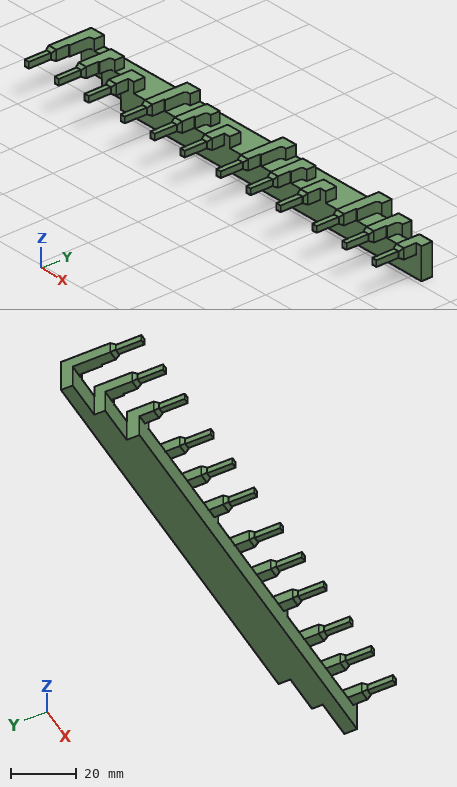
import cadquery as cq


total_length = 169.3
total_depth = 27.5
total_height = 12.4
group_count = 4
group_pitch = 45.0
tab_width = 6.1
bar_backs = [0.0, 4.0, 7.8]
bar_front = 12.2
finger_thickness = 4.0
arm_width = 4.0
neck_width = 3.5
neck_end = 17.1
taper_length = 1.5
shoulder_inset = 0.5
pin_width = 2.0
pin_height = 2.4
inner_fillet = 1.0

bar_count = len(bar_backs)
bar_fronts = bar_backs[1:] + [bar_front]
bar_length = (group_count - 1) * group_pitch + tab_width
bar_pitch = (total_length - bar_length) / (bar_count - 1)
bar_height = total_height - finger_thickness
shoulder_end_width = neck_width - 2 * shoulder_inset
pin_length = total_depth - neck_end - taper_length


def make_bar(index):
    """One straight bar, offset along X by its place in the stack."""
    front = bar_fronts[index]
    depth = front - bar_backs[index]
    bar = cq.Workplane("XY").box(bar_length, depth, bar_height, centered=False)
    return bar.translate((index * bar_pitch, -front, -total_height))


def make_finger_body(back, root_front):
    """Flat finger: wide root tab, arm over the bars and narrower neck."""
    outline = (
        cq.Workplane("XY")
        .moveTo(0, -back)
        .lineTo(tab_width, -back)
        .lineTo(tab_width, -root_front)
    )
    if root_front < bar_front:
        outline = (
            outline.lineTo(arm_width + inner_fillet, -root_front)
            .radiusArc((arm_width, -root_front - inner_fillet), -inner_fillet)
            .lineTo(arm_width, -bar_front)
        )
    return (
        outline.lineTo(neck_width, -bar_front)
        .lineTo(neck_width, -neck_end)
        .lineTo(0, -neck_end)
        .close()
        .extrude(-finger_thickness)
    )


def make_pin():
    """Tapered shoulder, as high as the pin at its end, and the slim pin."""
    neck_face = cq.Workplane("XZ", origin=(neck_width / 2, -neck_end, -finger_thickness / 2))
    shoulder = (
        neck_face.rect(neck_width, finger_thickness)
        .workplane(offset=taper_length)
        .rect(shoulder_end_width, pin_height)
        .loft(ruled=True)
    )
    shank = (
        neck_face.workplane(offset=taper_length)
        .rect(pin_width, pin_height)
        .extrude(pin_length)
    )
    return shoulder.union(shank)


result = make_bar(0)
for bar_index in range(1, bar_count):
    result = result.union(make_bar(bar_index))

pin = make_pin()
for bar_index in range(bar_count):
    finger = make_finger_body(bar_backs[bar_index], bar_fronts[bar_index]).union(pin)
    for group in range(group_count):
        finger_x = group * group_pitch + bar_index * bar_pitch
        result = result.union(finger.translate((finger_x, 0, 0)))

result = result.clean()